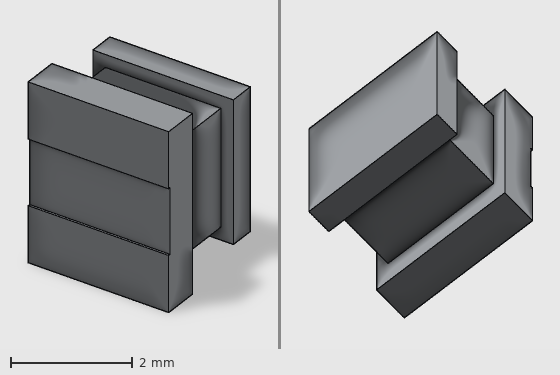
import cadquery as cq

width = 2.8
depth = 2.4
height = 3.5

front_flange_thickness = 0.7
back_flange_thickness = 0.5
back_flange_height = 2.8
core_side = 2.3
core_length = depth - front_flange_thickness - back_flange_thickness

groove_height = 1.288
groove_depth = 0.042


def centred_block(size_x, size_y, size_z, start_y):
    """Block centred on X and Z, running from start_y toward +Y."""
    block = cq.Workplane("XY").box(size_x, size_y, size_z, centered=(True, False, True))
    return block.translate((0, start_y, 0))


core_start = front_flange_thickness
back_flange_start = core_start + core_length

front_flange = centred_block(width, front_flange_thickness, height, 0)
core = centred_block(core_side, core_length, core_side, core_start)
back_flange = centred_block(width, back_flange_thickness, back_flange_height, back_flange_start)
groove = centred_block(width, groove_depth, groove_height, 0)

result = front_flange.union(core).union(back_flange).cut(groove)